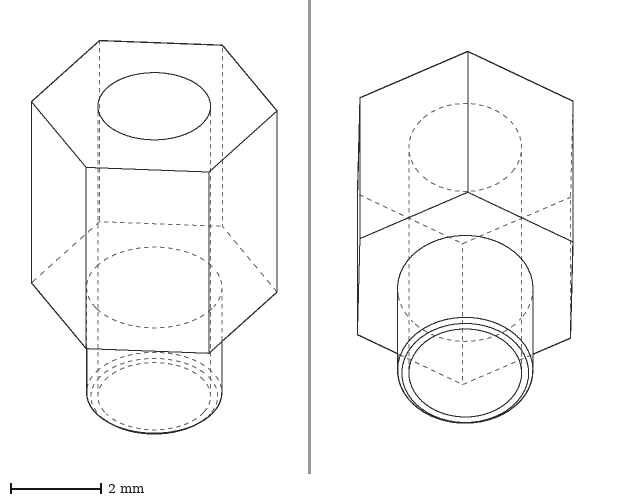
import cadquery as cq
import math

total_height = 8.0
hex_height = 5.0
across_flats = 4.72
stud_diameter = 3.0
bore_diameter = 2.5
tip_chamfer = 0.1

across_corners = across_flats / math.cos(math.pi / 6)
stud_length = total_height - hex_height

stud = (
    cq.Workplane("XY")
    .circle(stud_diameter / 2)
    .extrude(stud_length)
    .faces("<Z")
    .chamfer(tip_chamfer)
)

hex_body = (
    cq.Workplane("XY")
    .workplane(offset=stud_length)
    .polygon(6, across_corners)
    .extrude(hex_height)
)

bore = cq.Workplane("XY").circle(bore_diameter / 2).extrude(total_height)

result = hex_body.union(stud).cut(bore)